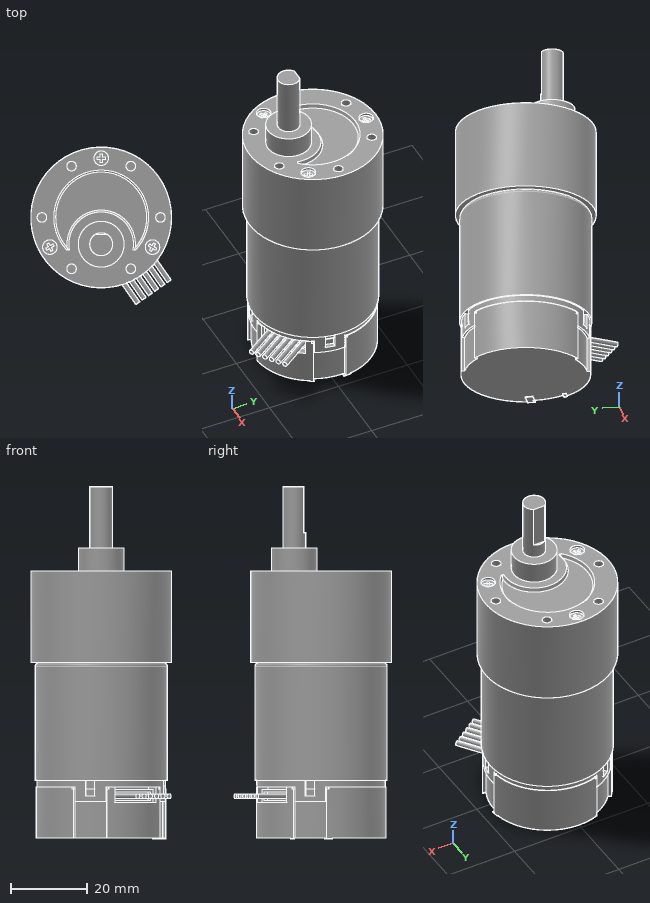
import cadquery as cq
import math


foot_height = 0.2
cap_height = 15.1
motor_height = 30.8
gearbox_height = 24.0
boss_height = 6.0
shaft_length = 16.0

cap_base_z = foot_height
motor_base_z = cap_base_z + cap_height
gearbox_base_z = motor_base_z + motor_height
gearbox_top_z = gearbox_base_z + gearbox_height
boss_top_z = gearbox_top_z + boss_height
shaft_top_z = boss_top_z + shaft_length

gearbox_diameter = 36.88
motor_diameter = 34.6
motor_top_fillet = 1.0
shaft_offset_y = -7.0
boss_diameter = 12.0
shaft_diameter = 6.0
shaft_flat_depth = 0.5
shaft_flat_length = 12.0

face_circle_radius = 15.5
mount_hole_diameter = 2.5
mount_hole_depth = 3.0
mount_hole_count = 6
screw_count = 3
screw_bore_diameter = 3.8
screw_bore_depth = 0.8
cross_length = 2.2
cross_width = 0.6
cross_depth = 0.5
crescent_outer_radius = 12.4
crescent_inner_radius = 8.45
crescent_depth = 1.0
crescent_wall_run = 0.5
crescent_end_y = -8.5

cap_angle = 35.0
cap_diameter = 34.0
collar_diameter = 33.7
core_diameter = 32.3
tab_width = 8.2
tab_height = 5.55
shell_gap = 1.7
slot_half_angle = 15.0
slot_step_half_angle = 16.8
slot_step_height = 0.55
slot_angles = (-45.0, 45.0, 180.0)
window_width = 2.5
window_height = 4.1
window_depth = 1.0
window_step_height = 2.2
window_step = 0.2

opening_width = 13.1
opening_height = 4.1
opening_back = 12.3
connector_front = 14.2
connector_drop = 2.4
socket_width = 11.6
socket_height = 2.3
socket_drop = 3.0
socket_back = 13.0
wire_count = 6
wire_pitch = 2.0
wire_diameter = 1.3
wire_end = 23.86
wire_drop = 4.15

foot_inner_x = 13.4
foot_spans_y = ((-8.0, -7.0), (0.9, 3.0))


def disc(diameter, base_z, top_z):
    """Cylinder about the gearbox axis between two heights."""
    return cq.Workplane("XY").workplane(offset=base_z).circle(diameter / 2).extrude(top_z - base_z)


def block(x_range, y_range, z_range):
    """Axis-aligned box given by its limits."""
    size = [high - low for low, high in (x_range, y_range, z_range)]
    corner = (x_range[0], y_range[0], z_range[0])
    return cq.Workplane("XY").box(*size, centered=False).translate(corner)


def turned(body, angle):
    """Turn a body about the gearbox axis."""
    return body.rotate((0, 0, 0), (0, 0, 1), angle)


def make_motor():
    """Motor can, rounded where it meets the gearbox."""
    can = disc(motor_diameter, motor_base_z, gearbox_base_z)
    return can.faces(">Z").edges().fillet(motor_top_fillet)


def make_output():
    """Boss and D-shaped shaft, with the flat facing +Y."""
    boss = cq.Workplane("XY").circle(boss_diameter / 2).extrude(boss_height)
    boss = boss.translate((0, shaft_offset_y, gearbox_top_z))
    shaft = cq.Workplane("XY").circle(shaft_diameter / 2).extrude(shaft_length)
    shaft = shaft.translate((0, shaft_offset_y, boss_top_z))
    radius = shaft_diameter / 2
    flat_y = shaft_offset_y + radius - shaft_flat_depth
    flat = block(
        (-radius, radius),
        (flat_y, flat_y + radius),
        (shaft_top_z - shaft_flat_length, shaft_top_z),
    )
    return boss.union(shaft.cut(flat))


def make_crescent_pocket():
    """Shallow crescent with sloping walls that wraps around the output boss."""
    bowl = cq.Workplane("XY").add(
        cq.Solid.makeCone(crescent_outer_radius - crescent_wall_run, crescent_outer_radius, crescent_depth)
    )
    island = cq.Workplane("XY").add(
        cq.Solid.makeCone(crescent_inner_radius + crescent_wall_run, crescent_inner_radius, crescent_depth)
    )
    crescent = bowl.cut(island.translate((0, shaft_offset_y, 0)))
    reach = crescent_outer_radius
    keep = block((-reach, reach), (crescent_end_y, reach), (0, crescent_depth))
    return crescent.intersect(keep).translate((0, 0, gearbox_top_z - crescent_depth))


def make_screw_recess():
    """Counterbore above a sunk screw head, with the cross slot in the head."""
    head_z = gearbox_top_z - screw_bore_depth
    recess = cq.Workplane("XY").circle(screw_bore_diameter / 2).extrude(screw_bore_depth)
    for length, width in ((cross_length, cross_width), (cross_width, cross_length)):
        recess = recess.union(cq.Workplane("XY").rect(length, width).extrude(-cross_depth))
    return recess.translate((0, face_circle_radius, head_z))


def make_gearbox():
    """Gearbox with mounting holes, screw recesses and crescent pocket in its top face."""
    body = disc(gearbox_diameter, gearbox_base_z, gearbox_top_z)
    holes = (
        cq.Workplane("XY")
        .workplane(offset=gearbox_top_z)
        .polarArray(face_circle_radius, 0, 360, mount_hole_count)
        .circle(mount_hole_diameter / 2)
        .extrude(-mount_hole_depth)
    )
    body = body.cut(holes).cut(make_crescent_pocket())
    for index in range(screw_count):
        body = body.cut(turned(make_screw_recess(), index * 360 / screw_count))
    return body


def wedge(half_angle, base_z, top_z):
    """Triangular cutter pointing from the axis toward -Y, longer than the cap radius."""
    reach = cap_diameter
    half = reach * math.tan(math.radians(half_angle))
    outline = cq.Workplane("XY").workplane(offset=base_z).polyline([(0, 0), (-half, -reach), (half, -reach)])
    return outline.close().extrude(top_z - base_z)


def make_slot():
    """Slot cutter with radial sides, stepped wider at the top of the shell."""
    top_z = motor_base_z - shell_gap
    slot = wedge(slot_half_angle, cap_base_z, top_z)
    return slot.union(wedge(slot_step_half_angle, top_z - slot_step_height, top_z))


def make_collar():
    """Ring under the motor, with a tab hanging into each slot of the shell."""
    base_z = motor_base_z - tab_height
    shape = disc(2 * collar_diameter, motor_base_z - shell_gap, motor_base_z)
    half = tab_width / 2
    for angle in slot_angles:
        bar = block((-half, half), (-collar_diameter, 0), (base_z, motor_base_z))
        shape = shape.union(turned(bar, angle))
    return disc(collar_diameter, base_z, motor_base_z).intersect(shape)


def make_window():
    """Stepped window through the collar and tab, toward -Y."""
    outer = collar_diameter / 2
    half = window_width / 2
    base_z = motor_base_z - window_height
    step_z = motor_base_z - window_step_height
    upper = block((-half, half), (-cap_diameter, window_depth - outer), (step_z, motor_base_z))
    lower = block((-half, half), (-cap_diameter, window_depth + window_step - outer), (base_z, step_z))
    return upper.union(lower)


def make_connector():
    """Connector housing across the opening, with one shared socket for the wires."""
    half = opening_width / 2
    opening_base_z = motor_base_z - shell_gap - opening_height
    housing = block(
        (-half, half),
        (-connector_front, -opening_back),
        (opening_base_z, motor_base_z - connector_drop),
    )
    socket_top_z = motor_base_z - socket_drop
    socket = block(
        (-socket_width / 2, socket_width / 2),
        (-connector_front, -socket_back),
        (socket_top_z - socket_height, socket_top_z),
    )
    return housing.cut(socket)


def make_wires():
    """Flat row of wires leaving the connector toward -Y."""
    wire = cq.Workplane("XZ").circle(wire_diameter / 2).extrude(wire_end - opening_back)
    wire = wire.translate((0, -opening_back, motor_base_z - wire_drop))
    wires = cq.Workplane("XY")
    first_x = -(wire_count - 1) * wire_pitch / 2
    for index in range(wire_count):
        wires = wires.add(wire.translate((first_x + index * wire_pitch, 0, 0)))
    return wires.combine()


def make_cap():
    """Encoder cap with collar, connector and wires, built toward -Y and then turned."""
    shell_top_z = motor_base_z - shell_gap
    cap = disc(cap_diameter, cap_base_z, shell_top_z)
    for angle in slot_angles:
        cap = cap.cut(turned(make_slot(), angle))
    cap = cap.union(disc(core_diameter, cap_base_z, motor_base_z))
    cap = cap.union(make_collar())
    for angle in slot_angles:
        cap = cap.cut(turned(make_window(), angle))
    half = opening_width / 2
    opening = block(
        (-half, half),
        (-cap_diameter, -opening_back),
        (shell_top_z - opening_height, shell_top_z),
    )
    cap = cap.cut(opening).union(make_connector()).union(make_wires())
    return turned(cap, cap_angle)


def make_feet():
    """Thin feet whose outer ends follow the cap's rim; they run up to the cap's underside."""
    feet = cq.Workplane("XY")
    for span in foot_spans_y:
        feet = feet.add(block((foot_inner_x, cap_diameter / 2), span, (0, cap_base_z)))
    return feet.combine().intersect(disc(cap_diameter, 0, cap_base_z))


result = make_cap()
for section in (make_motor(), make_gearbox(), make_output(), make_feet()):
    result = result.union(section)